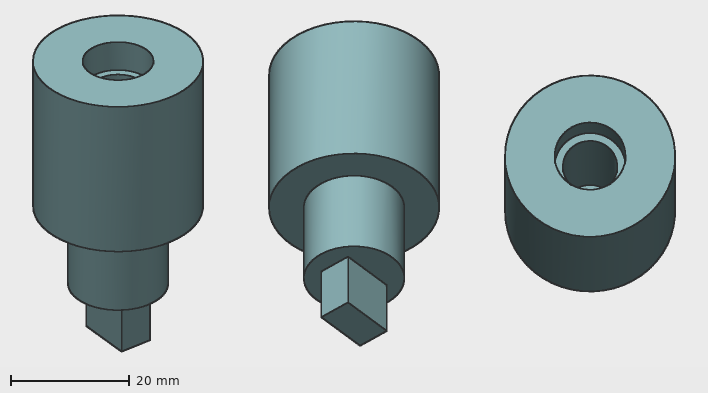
import cadquery as cq

head_diameter = 28.8
head_height = 29.0
bore_diameter = 9.2
counterbore_diameter = 12.0
counterbore_depth = 5.6

neck_diameter = 17.0
neck_height = 15.5
tang_width = 10.05
tang_thickness = 6.0
tang_height = 10.05

tang_top = tang_height
neck_top = tang_top + neck_height


def make_head():
    """Large cylinder with a counterbored hole running through it."""
    return (
        cq.Workplane("XY", origin=(0, 0, neck_top))
        .circle(head_diameter / 2)
        .extrude(head_height)
        .faces(">Z")
        .workplane()
        .cboreHole(bore_diameter, counterbore_diameter, counterbore_depth)
    )


def make_shank():
    """Round neck under the head, ending in a flat rectangular tang."""
    neck = (
        cq.Workplane("XY", origin=(0, 0, tang_top))
        .circle(neck_diameter / 2)
        .extrude(neck_height)
    )
    tang = cq.Workplane("XY").rect(tang_width, tang_thickness).extrude(tang_height)
    return neck.union(tang)


head = make_head()
shank = make_shank()

result = cq.Compound.makeCompound([head.solids().val(), shank.solids().val()])